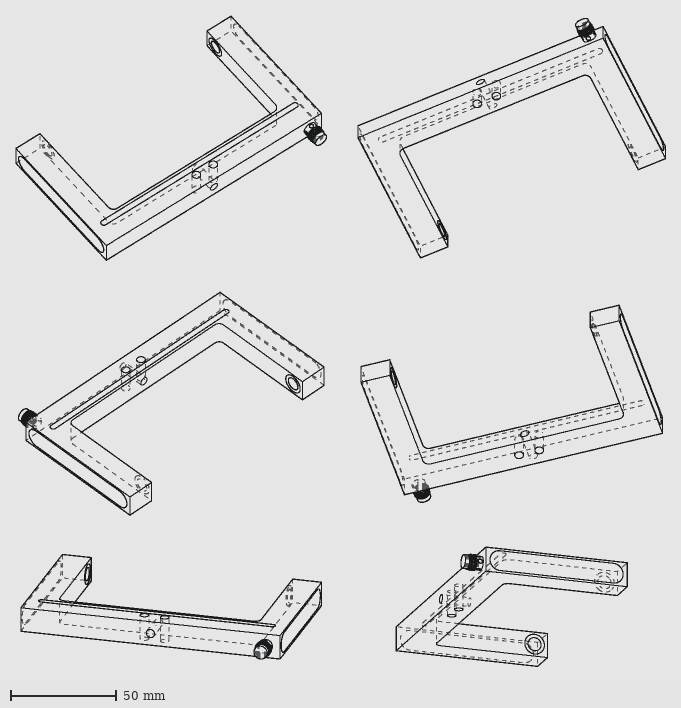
import cadquery as cq

length = 128.0
depth = 71.2
thickness = 12.0
arm_width = 14.3
inner_radius = 3.0
half_length = length / 2
spine_inner_x = depth - arm_width

hole_diameter = 4.1
hole_spacing = 10.0
hole_edge_distance = 7.2

recess_depth = 0.1
strip_width = 3.0
strip_length = 116.7
strip_x = spine_inner_x + 3.0
cover_width = 9.9
cover_length = 67.0
lens_x = 6.5
lens_diameter = 6.5

connector_y = 57.0
connector_length = 9.0
barrel_diameter = 6.7
ridge_diameter = 7.7
ridge_width = 0.6
ridge_positions = (3.3, 4.2, 5.5)
collar_position = 6.7
collar_width = 0.4
collar_diameter = 7.2
dimple_diameter = 2.0
dimple_position = 1.4
dimple_depth = 0.4


def make_body():
    """U-shaped fork, centred on Y and Z, with rounded inner corners."""
    block = cq.Workplane("XY").box(depth, length, thickness, centered=(False, True, True))
    gap = (
        cq.Workplane("XY")
        .box(2 * spine_inner_x, length - 2 * arm_width, thickness)
        .edges("|Z")
        .fillet(inner_radius)
    )
    return block.cut(gap)


def make_mounting_holes():
    """Two holes along Z and one along X between them."""
    vertical = (
        cq.Workplane("XY")
        .center(depth - hole_edge_distance, 0)
        .rarray(1.3, hole_spacing, 1, 2)
        .circle(hole_diameter / 2)
        .extrude(thickness, both=True)
    )
    cross = cq.Workplane("YZ").circle(hole_diameter / 2).extrude(2 * depth)
    return vertical.union(cross)


def make_strip_recess():
    """Long round-ended recess in the top face of the spine."""
    return (
        cq.Workplane("XY", origin=(strip_x, 0, thickness / 2))
        .slot2D(strip_length, strip_width, 90)
        .extrude(-recess_depth)
    )


def make_arm_recesses():
    """Cover recess outside and stepped lens recess inside the -Y arm."""
    outer = (
        cq.Workplane("XZ", origin=(depth / 2, -half_length, 0))
        .slot2D(cover_length, cover_width)
        .extrude(-recess_depth)
    )
    inner_face = cq.Workplane("XZ", origin=(lens_x, arm_width - half_length, 0))
    lens_seat = inner_face.circle(cover_width / 2).extrude(recess_depth)
    lens = inner_face.circle(lens_diameter / 2).extrude(2 * recess_depth)
    return outer.union(lens_seat).union(lens)


def make_connector():
    """Barrel along X with pointed ridges, a thin collar and dimples in its neck."""
    barrel_radius = barrel_diameter / 2
    profile = cq.Workplane("XY").moveTo(0, 0).lineTo(0, barrel_radius)
    for position in ridge_positions:
        profile = (
            profile.lineTo(position - ridge_width / 2, barrel_radius)
            .lineTo(position, ridge_diameter / 2)
            .lineTo(position + ridge_width / 2, barrel_radius)
        )
    profile = (
        profile.lineTo(collar_position - collar_width / 2, barrel_radius)
        .lineTo(collar_position, collar_diameter / 2)
        .lineTo(collar_position + collar_width / 2, barrel_radius)
        .lineTo(connector_length, barrel_radius)
        .lineTo(connector_length, 0)
        .close()
    )
    connector = profile.revolve(360, (0, 0, 0), (1, 0, 0))
    dimple = (
        cq.Workplane("XY", origin=(dimple_position, 0, barrel_radius - dimple_depth))
        .circle(dimple_diameter / 2)
        .extrude(barrel_radius)
    )
    for angle in (0, 90, 180, 270):
        connector = connector.cut(dimple.rotate((0, 0, 0), (1, 0, 0), angle))
    return connector.translate((depth, connector_y, 0))


arm_recesses = make_arm_recesses()
result = (
    make_body()
    .cut(make_mounting_holes())
    .cut(make_strip_recess())
    .cut(arm_recesses)
    .cut(arm_recesses.mirror("XZ"))
    .union(make_connector())
)